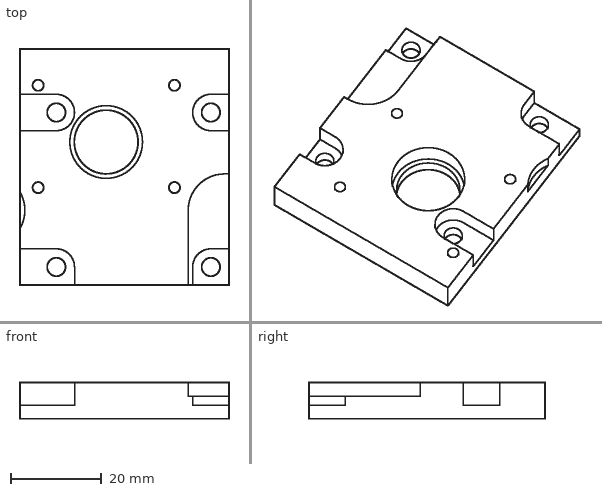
import cadquery as cq

width = 46.0
length = 52.0
thickness = 8.0

mount_diameter = 4.0
mount_edge = 4.0
mount_right_edge = 4.0
mount_pitch = 34.0
pocket_radius = 4.0
pocket_floor = 3.0
mount_right = width - mount_right_edge
mount_left = mount_right - mount_pitch
mount_front = mount_edge
mount_back = mount_front + mount_pitch

bore_x = 19.0
bore_y = 31.5
bore_diameter = 14.0
counterbore_diameter = 16.0
counterbore_depth = 5.0

small_diameter = 2.4
small_left = 4.0
small_front = 21.5
small_pitch_x = 30.0
small_pitch_y = 22.5

recess_depth = 3.0
corner_recess_width = 9.0
corner_recess_length = 24.5
corner_recess_radius = 8.0
notch_y = 16.5
notch_half_chord = 4.0
notch_reach = 1.1


def block(x_min, x_max, y_min, y_max, floor):
    """Box from the given floor up to the top face."""
    size = (x_max - x_min, y_max - y_min, thickness - floor)
    return cq.Workplane("XY").box(*size, centered=False).translate((x_min, y_min, floor))


def drill(points, diameter, floor=0):
    """Cylinders from the given floor up to the top face."""
    return (
        cq.Workplane("XY", origin=(0, 0, floor))
        .pushPoints(points)
        .circle(diameter / 2)
        .extrude(thickness - floor)
    )


def side_pocket(x, edge_x):
    """Round-ended pocket running from a back mounting hole to a side edge."""
    y_min = mount_back - pocket_radius
    y_max = mount_back + pocket_radius
    slot = block(min(x, edge_x), max(x, edge_x), y_min, y_max, pocket_floor)
    return slot.union(drill([(x, mount_back)], 2 * pocket_radius, pocket_floor))


def front_pocket(x_min, x_max, rounded_edge):
    """Pocket at a front corner, rounded at its inner corner."""
    pocket = block(x_min, x_max, 0, mount_front + pocket_radius, pocket_floor)
    return pocket.edges(rounded_edge).fillet(pocket_radius)


def corner_recess():
    """Shallow recess at the front right corner, rounded at its inner corner."""
    recess = block(width - corner_recess_width, width, 0, corner_recess_length, thickness - recess_depth)
    return recess.edges("|Z and <X and >Y").fillet(corner_recess_radius)


def edge_notch():
    """Shallow circular segment cut into the left edge."""
    return (
        cq.Workplane("XY", origin=(0, 0, thickness - recess_depth))
        .moveTo(0, notch_y - notch_half_chord)
        .threePointArc((notch_reach, notch_y), (0, notch_y + notch_half_chord))
        .close()
        .extrude(recess_depth)
    )


mount_points = [(x, y) for x in (mount_left, mount_right) for y in (mount_front, mount_back)]
small_points = [
    (x, y)
    for x in (small_left, small_left + small_pitch_x)
    for y in (small_front, small_front + small_pitch_y)
]
bore_point = [(bore_x, bore_y)]

cutters = [
    side_pocket(mount_left, 0),
    side_pocket(mount_right, width),
    front_pocket(0, mount_left + pocket_radius, "|Z and >X and >Y"),
    front_pocket(mount_right - pocket_radius, width, "|Z and <X and >Y"),
    corner_recess(),
    edge_notch(),
    drill(mount_points, mount_diameter),
    drill(small_points, small_diameter),
    drill(bore_point, bore_diameter),
    drill(bore_point, counterbore_diameter, thickness - counterbore_depth),
]

result = block(0, width, 0, length, 0)
for cutter in cutters:
    result = result.cut(cutter)